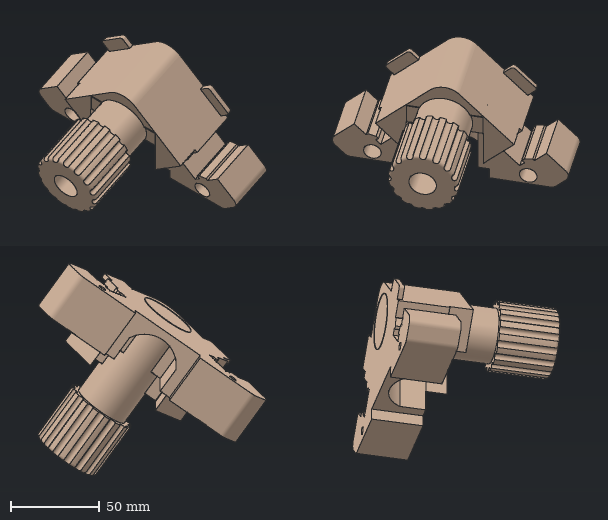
import cadquery as cq
import math


half_width = 68.6
height = 76.3
plate_depth = 30.0
housing_depth = 44.0
ridge_radius = 12.0
foot_fillet = 5.0
foot_half_gap = 22.5
bridge_bottom = 6.7

roof_out = (height + ridge_radius * (math.sqrt(2) - 1)) / math.sqrt(2)
foot_along = roof_out - math.sqrt(2) * (half_width - foot_fillet) - 2 * foot_fillet
gable_along = 0.5

slot_along = -11.5
slot_floor = 37.6
slot_half_width = 8.0
clearance = 1.4
mouth_half_width = 10.0
lip_bottom = 41.6
lip_bevel_start = 43.5
lip_top = 47.6
lip_half_gap = 5.9
lip_top_half_gap = 8.6

tab_start = 2.5
tab_end = 22.6
tab_height = 8.0
tab_thickness = 3.0
tab_fillet = 1.8
tab_root = 1.4

screw_x = 45.3
screw_z = 6.5
screw_radius = 2.2
counterbore_radius = 5.1
counterbore_depth = 20.6

recess_half_width = 16.0
recess_top = 38.8
recess_radius = 18.0
recess_axis_y = -22.9

axis_z = 51.7
shaft_radius = recess_half_width
shaft_overhang = 0.3
key_half_width = 22.2
key_bottom = 45.4
key_top = 57.9
key_setback = 0.5

overall_depth = 100.0
knob_length = 35.0
knob_radius = 20.5
knob_fillet = 1.9
knob_bore_radius = 8.0
groove_radius = 2.0
groove_count = 16

knob_front = shaft_overhang - overall_depth
knob_back = knob_front + knob_length


def wing_point(along, out):
    """The (X, Z) point of the left wing's 45 degree directions."""
    return ((along - out) / math.sqrt(2), (along + out) / math.sqrt(2))


def extrude_back(outline, front, back):
    """Extrudes a closed (X, Z) outline between two Y positions."""
    return cq.Workplane("XZ", origin=(0, back, 0)).polyline(outline).close().extrude(back - front)


def block(half_x, bottom, top, front, back):
    """A box centred on X = 0."""
    return cq.Workplane("XY").box(2 * half_x, back - front, top - bottom).translate(
        (0, (front + back) / 2, (bottom + top) / 2)
    )


def rod(radius, front, back, x=0, z=axis_z):
    """A cylinder along Y."""
    return cq.Workplane("XZ", origin=(x, back, z)).circle(radius).extrude(back - front)


def with_mirror(half):
    """Joins a left half to its mirror image across X = 0."""
    return half.union(half.mirror("YZ"))


def plate_half():
    """The left wing of the plate, with its foot and half of the bridge."""
    apex = (0, math.sqrt(2) * roof_out)
    outer_corner = wing_point(foot_along, roof_out)
    foot_corner = (math.sqrt(2) * foot_along, 0)
    outline = [
        apex,
        outer_corner,
        foot_corner,
        (-foot_half_gap, 0),
        (-foot_half_gap, bridge_bottom),
        (0, bridge_bottom),
    ]
    plate = extrude_back(outline, -plate_depth, 0)
    for x, z in (outer_corner, foot_corner):
        corner_edge = cq.selectors.NearestToPointSelector((x, -plate_depth / 2, z))
        plate = plate.edges(corner_edge).fillet(foot_fillet)
    return plate


def profile_slot():
    """Cutter for the slot, which is wide inside and narrows between two bevelled lips."""
    one_side = [
        (slot_half_width, slot_floor),
        (slot_half_width, lip_bottom),
        (lip_half_gap, lip_bottom),
        (lip_half_gap, lip_bevel_start),
        (lip_top_half_gap, lip_top),
        (mouth_half_width, lip_top),
        (mouth_half_width, roof_out + clearance),
    ]
    upper = [wing_point(slot_along + half, out) for half, out in one_side]
    lower = [wing_point(slot_along - half, out) for half, out in reversed(one_side)]
    return extrude_back(upper + lower, -plate_depth, 0)


def gable_half():
    """The left half of the gable in front of the plate."""
    outline = [
        (0, math.sqrt(2) * roof_out),
        wing_point(gable_along, roof_out),
        (-foot_half_gap, foot_half_gap + math.sqrt(2) * gable_along),
        (-foot_half_gap, key_bottom),
        (0, key_bottom),
    ]
    return extrude_back(outline, -housing_depth, -plate_depth)


def stop_tab():
    outline = [
        wing_point(tab_start, roof_out - tab_root),
        wing_point(tab_end, roof_out - tab_root),
        wing_point(tab_end, roof_out + tab_height),
        wing_point(tab_start, roof_out + tab_height),
    ]
    tab = extrude_back(outline, -tab_thickness, 0)
    return tab.edges("|Y").edges("<X or >Z").fillet(tab_fillet)


def screw_hole():
    hole = rod(screw_radius, -plate_depth, 0, -screw_x, screw_z)
    counterbore = rod(
        counterbore_radius, -plate_depth, counterbore_depth - plate_depth, -screw_x, screw_z
    )
    return hole.union(counterbore)


def bolt_recess():
    """A straight-sided recess with a bowed back wall."""
    cylinder = (
        cq.Workplane("XY", origin=(0, recess_axis_y, 0)).circle(recess_radius).extrude(recess_top)
    )
    front_part = block(recess_half_width, 0, recess_top, -plate_depth, recess_axis_y)
    sides = block(recess_half_width, 0, recess_top, -plate_depth, 0)
    return cylinder.union(front_part).intersect(sides)


def make_shaft():
    key = block(key_half_width, key_bottom, key_top, key_setback - housing_depth, -plate_depth)
    return rod(shaft_radius, knob_back, shaft_overhang).union(key)


def make_housing():
    half = plate_half().union(gable_half())
    half = half.cut(profile_slot()).cut(screw_hole()).union(stop_tab())
    housing = with_mirror(half)
    housing = housing.edges("|Y and >Z").fillet(ridge_radius)
    housing = housing.cut(bolt_recess())
    key_slot = block(key_half_width, key_bottom, key_top, -housing_depth, -plate_depth)
    shaft_bore = rod(shaft_radius, -housing_depth, 0)
    return housing.cut(key_slot).cut(shaft_bore)


def make_knob():
    knob = rod(knob_radius, knob_front, knob_back)
    knob = knob.faces("<Y").edges().fillet(knob_fillet)
    for i in range(groove_count):
        angle = 2 * math.pi * i / groove_count
        x = knob_radius * math.cos(angle)
        z = axis_z + knob_radius * math.sin(angle)
        knob = knob.cut(rod(groove_radius, knob_front, knob_back, x, z))
    return knob.cut(rod(knob_bore_radius, knob_front, knob_back))


housing = make_housing()
shaft = make_shaft()
knob = make_knob()

result = cq.Compound.makeCompound([body.solids().val() for body in (housing, shaft, knob)])